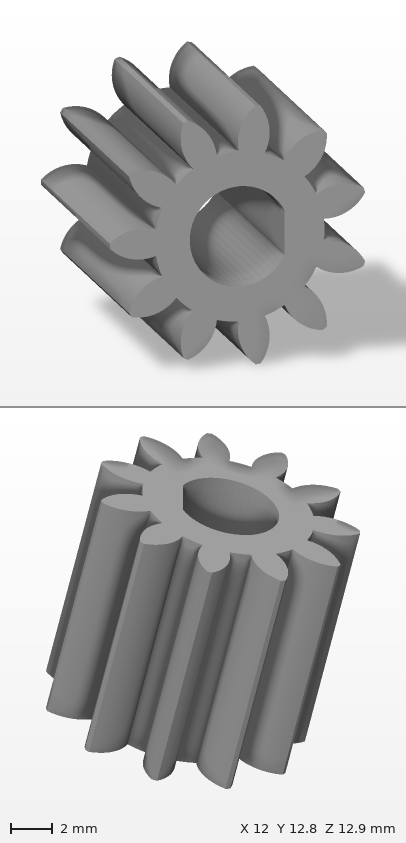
import cadquery as cq
import math

tooth_count = 11
face_width = 12.0
tip_radius = 6.51
root_radius = 4.25
bore_radius = 2.5
flat_distance = 2.25

root_half_width = 0.66
widest_half_width = 0.77
widest_radius = 5.09
tip_half_width = 0.13


def on_circle(radius, half_width):
    """Distance along the tooth at which a circle reaches the given half width."""
    return math.sqrt(radius**2 - half_width**2)


def make_tooth():
    """One bulging tooth along local +X, its foot buried in the hub."""
    foot = bore_radius + (root_radius - bore_radius) / 2
    root = on_circle(root_radius, root_half_width)
    tip = on_circle(tip_radius, tip_half_width)
    return (
        cq.Workplane("YZ")
        .moveTo(foot, -root_half_width)
        .lineTo(root, -root_half_width)
        .threePointArc((widest_radius, -widest_half_width), (tip, -tip_half_width))
        .threePointArc((tip_radius, 0), (tip, tip_half_width))
        .threePointArc((widest_radius, widest_half_width), (root, root_half_width))
        .lineTo(foot, root_half_width)
        .close()
        .extrude(face_width / 2, both=True)
    )


def make_bore():
    """D-shaped through bore with its flat on the +Y side."""
    flat_half_length = on_circle(bore_radius, flat_distance)
    return (
        cq.Workplane("YZ")
        .moveTo(flat_distance, -flat_half_length)
        .lineTo(flat_distance, flat_half_length)
        .threePointArc((-bore_radius, 0), (flat_distance, -flat_half_length))
        .close()
        .extrude(face_width / 2, both=True)
    )


pinion = cq.Workplane("YZ").circle(root_radius).extrude(face_width / 2, both=True)

tooth = make_tooth()
for index in range(tooth_count):
    angle = 180 + index * 360 / tooth_count
    pinion = pinion.union(tooth.rotate((0, 0, 0), (1, 0, 0), angle))

result = pinion.cut(make_bore())